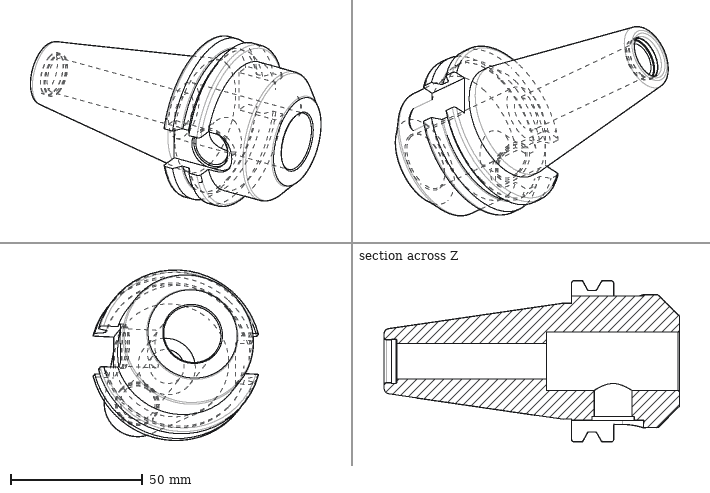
import cadquery as cq

length = 112.7
taper_ratio = 7 / 24
gauge_x = 68.4
gauge_radius = 22.2
shank_tip_fillet = 2.3
shank_tip_radius = gauge_radius - gauge_x * taper_ratio / 2

flange_start = 71.5
flange_end = 87.7
flange_radius = 31.8
flange_edge_fillet = 1.1
groove_radius = 28.2
groove_start = 75.7
groove_floor_start = 77.8
groove_floor_end = 80.9
groove_end = 83.1
groove_fillet = 0.6

body_radius = 50.8 / 2
nose_shoulder_x = 104.5
nose_shoulder_fillet = 1.5
nose_face_radius = 17.4
nose_edge_x = 112.1
nose_edge_radius = body_radius - (nose_edge_x - nose_shoulder_x)

through_diameter = 13.4
shank_socket_diameter = 16.3
shank_socket_depth = 5.0
socket_mouth_fillet = 0.96
relief_diameter = 16.8
relief_start = 2.9
relief_end = 4.6
tool_bore_diameter = 22.2
tool_bore_mouth_diameter = 23.2
tool_bore_depth = 50.7

slot_width = 16.0
slot_end_center_x = 91.0
front_slot_floor = 22.5
back_slot_floor = 24.9
screw_x = 87.3
screw_diameter = 14.3
screw_counterbore_diameter = 16.0
screw_counterbore_depth = 1.5


def fillet_circle(body, x, radius, fillet_radius):
    """Round the circular edge of the given radius that lies in the plane at x."""
    slack = 0.01
    rim = radius + slack
    near_plane = cq.selectors.BoxSelector((x - slack, -rim, -rim), (x + slack, rim, rim), boundingbox=True)
    on_rim = cq.selectors.RadiusNthSelector(-1)
    return body.edges(near_plane).edges(on_rim).fillet(fillet_radius)


def make_body():
    """Revolve the outer profile about the X axis."""
    profile = (
        cq.Workplane("XY")
        .moveTo(0, 0)
        .lineTo(0, shank_tip_radius)
        .lineTo(gauge_x, gauge_radius)
        .lineTo(flange_start, gauge_radius)
        .lineTo(flange_start, flange_radius)
        .lineTo(groove_start, flange_radius)
        .lineTo(groove_floor_start, groove_radius)
        .lineTo(groove_floor_end, groove_radius)
        .lineTo(groove_end, flange_radius)
        .lineTo(flange_end, flange_radius)
        .lineTo(flange_end, body_radius)
        .lineTo(nose_shoulder_x, body_radius)
        .lineTo(nose_edge_x, nose_edge_radius)
        .lineTo(length, nose_face_radius)
        .lineTo(length, 0)
        .close()
    )
    body = profile.revolve(360, (0, 0, 0), (1, 0, 0))
    body = body.faces("<X").edges().fillet(shank_tip_fillet)
    body = fillet_circle(body, flange_start, flange_radius, flange_edge_fillet)
    body = fillet_circle(body, flange_end, flange_radius, flange_edge_fillet)
    body = fillet_circle(body, groove_floor_start, groove_radius, groove_fillet)
    body = fillet_circle(body, groove_floor_end, groove_radius, groove_fillet)
    return fillet_circle(body, nose_shoulder_x, body_radius, nose_shoulder_fillet)


def tool_bore():
    """Cutter for the bore in the nose face, with a 45 degree mouth."""
    radius = tool_bore_diameter / 2
    mouth_radius = tool_bore_mouth_diameter / 2
    return (
        cq.Workplane("XY")
        .moveTo(length, 0)
        .lineTo(length, mouth_radius)
        .lineTo(length - (mouth_radius - radius), radius)
        .lineTo(length - tool_bore_depth, radius)
        .lineTo(length - tool_bore_depth, 0)
        .close()
        .revolve(360, (0, 0, 0), (1, 0, 0))
    )


def screw_hole():
    """Cutter for the counterbored screw hole, from the front slot floor to the axis."""
    floor_plane = cq.Workplane("XZ", origin=(screw_x, -front_slot_floor, 0))
    hole = floor_plane.circle(screw_diameter / 2).extrude(-front_slot_floor)
    return hole.union(floor_plane.circle(screw_counterbore_diameter / 2).extrude(-screw_counterbore_depth))


def drive_slot(side, floor):
    """Flat-bottomed slot from the shank side of the flange, round at its nose end."""
    height = flange_radius - floor
    middle_y = side * (floor + height / 2)
    straight_length = slot_end_center_x - flange_start
    straight = cq.Workplane("XY").box(straight_length, height, slot_width).translate(
        (flange_start + straight_length / 2, middle_y, 0)
    )
    round_end = cq.Workplane("XZ", origin=(slot_end_center_x, middle_y, 0)).circle(slot_width / 2)
    return straight.union(round_end.extrude(height / 2, both=True))


def shank_socket():
    """Cutter for the socket in the small end, with a rounded mouth and an inner relief groove."""
    radius = shank_socket_diameter / 2
    relief_radius = relief_diameter / 2
    return (
        cq.Workplane("XY")
        .moveTo(0, 0)
        .lineTo(0, radius + socket_mouth_fillet)
        .radiusArc((socket_mouth_fillet, radius), -socket_mouth_fillet)
        .lineTo(relief_start, radius)
        .lineTo(relief_start, relief_radius)
        .lineTo(relief_end, relief_radius)
        .lineTo(relief_end, radius)
        .lineTo(shank_socket_depth, radius)
        .lineTo(shank_socket_depth, 0)
        .close()
        .revolve(360, (0, 0, 0), (1, 0, 0))
    )


result = make_body()
result = result.cut(cq.Workplane("YZ").circle(through_diameter / 2).extrude(length))
result = result.cut(shank_socket())
result = result.cut(tool_bore())
result = result.cut(drive_slot(-1, front_slot_floor))
result = result.cut(drive_slot(1, back_slot_floor))
result = result.cut(screw_hole())